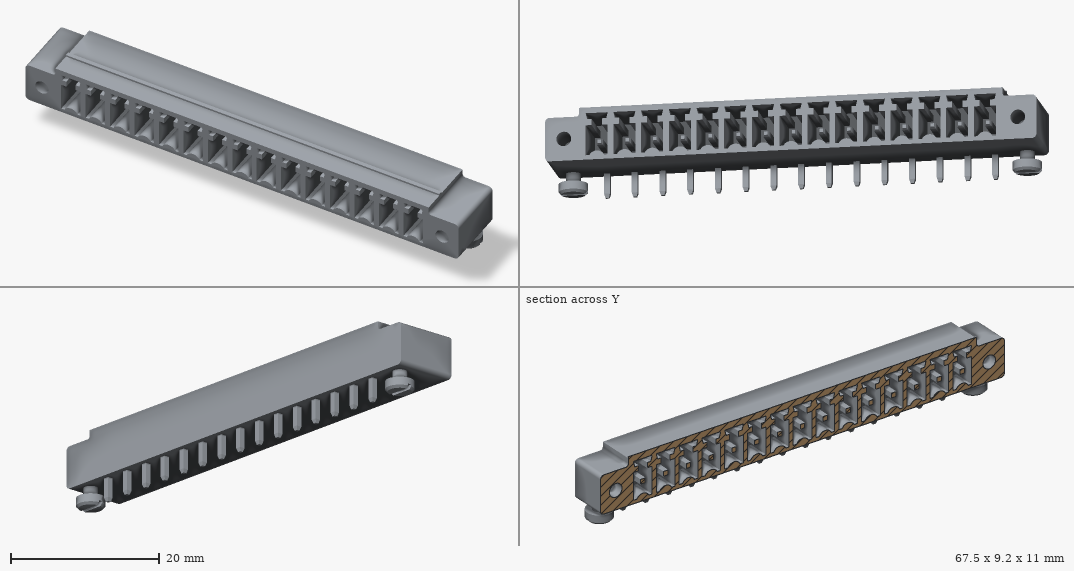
import cadquery as cq

LENGTH = 67.55
DEPTH = 9.2
EAR_HEIGHT = 6.1
BLOCK_HEIGHT = 7.3
BLOCK_LENGTH = 58.2
CORNER_RADIUS = 0.6
EAR_FILLET = 0.4
FRONT_Y = -DEPTH / 2

RIB_Y = -1.4
RIB_WIDTH = 0.6
RIB_HEIGHT = 0.3

POLE_COUNT = 15
ROW_LENGTH = 53.35
PITCH = ROW_LENGTH / (POLE_COUNT - 1)
CAVITY_DEPTH = 6.75
CAVITY_WIDTH = 3.05
CAVITY_FLOOR = 0.6
SHOULDER_HEIGHT = 4.8
NECK_WIDTH = 1.4
NECK_TOP = 5.7
HEAD_BOTTOM_WIDTH = 2.65
CAVITY_TOP = 6.5
FLOOR_BUMP_WIDTH = 2.0
FLOOR_BUMP_HEIGHT = 0.6

PIN_SIZE = 0.8
PIN_Z = 3.05
PIN_FRONT_Y = -2.6
PIN_LEG_Y = 3.4
PIN_DROP = 3.4
PIN_TAPER = 0.55
PIN_TIP_SIZE = 0.5

FLANGE_X = 31.2
FLANGE_HOLE_Z = 3.05
FLANGE_HOLE_DIAMETER = 2.0
FLANGE_HOLE_DEPTH = 5.4
SCREW_Y = 2.5
SCREW_SHANK_DIAMETER = 2.0
SCREW_HEAD_DIAMETER = 4.0
SCREW_HEAD_TOP = -1.4
SCREW_HEAD_HEIGHT = 1.5
SCREW_HEAD_CHAMFER = 0.35
SCREW_SLOT_WIDTH = 0.6
SCREW_SLOT_DEPTH = 0.6

pole_positions = [i * PITCH - ROW_LENGTH / 2 for i in range(POLE_COUNT)]


def make_housing():
    """Long bar with rounded ears and a taller middle block, filleted where they meet."""
    ears = (
        cq.Workplane("XY")
        .box(LENGTH, DEPTH, EAR_HEIGHT, centered=(True, True, False))
        .edges("|Y")
        .fillet(CORNER_RADIUS)
    )
    block = cq.Workplane("XY").box(BLOCK_LENGTH, DEPTH, BLOCK_HEIGHT, centered=(True, True, False))
    body = ears.union(block)
    for side in (-1, 1):
        junction = cq.NearestToPointSelector((side * BLOCK_LENGTH / 2, 0, EAR_HEIGHT))
        body = body.edges("|Y").edges(junction).fillet(EAR_FILLET)
    return body


def make_rib():
    """Rectangular rib running the full length of the middle block."""
    return cq.Workplane("XY", origin=(0, RIB_Y, BLOCK_HEIGHT)).box(
        BLOCK_LENGTH, RIB_WIDTH, RIB_HEIGHT, centered=(True, True, False)
    )


def make_cavity(x):
    """Keyed cavity with a dovetail head, a narrow neck and an arched floor."""
    half = CAVITY_WIDTH / 2
    half_neck = NECK_WIDTH / 2
    half_head = HEAD_BOTTOM_WIDTH / 2
    half_bump = FLOOR_BUMP_WIDTH / 2
    return (
        cq.Workplane("XZ", origin=(x, FRONT_Y, 0))
        .moveTo(-half_bump, CAVITY_FLOOR)
        .threePointArc((0, CAVITY_FLOOR + FLOOR_BUMP_HEIGHT), (half_bump, CAVITY_FLOOR))
        .lineTo(half, CAVITY_FLOOR)
        .lineTo(half, SHOULDER_HEIGHT)
        .lineTo(half_neck, SHOULDER_HEIGHT)
        .lineTo(half_neck, NECK_TOP)
        .lineTo(half_head, NECK_TOP)
        .lineTo(half, CAVITY_TOP)
        .lineTo(-half, CAVITY_TOP)
        .lineTo(-half_head, NECK_TOP)
        .lineTo(-half_neck, NECK_TOP)
        .lineTo(-half_neck, SHOULDER_HEIGHT)
        .lineTo(-half, SHOULDER_HEIGHT)
        .lineTo(-half, CAVITY_FLOOR)
        .close()
        .extrude(-CAVITY_DEPTH)
    )


def tapered_bar(plane, length):
    """Square bar of the given total length with a tapered far end."""
    straight_length = length - PIN_TAPER
    straight = cq.Workplane(plane).rect(PIN_SIZE, PIN_SIZE).extrude(straight_length)
    tip = (
        cq.Workplane(plane)
        .workplane(offset=straight_length)
        .rect(PIN_SIZE, PIN_SIZE)
        .workplane(offset=PIN_TAPER)
        .rect(PIN_TIP_SIZE, PIN_TIP_SIZE)
        .loft()
    )
    return straight.union(tip)


def make_pin(x):
    """Right-angle pin: a leg below the housing and a contact inside the cavity."""
    corner = (x, PIN_LEG_Y, PIN_Z)
    leg = tapered_bar(cq.Plane(corner, (1, 0, 0), (0, 0, -1)), PIN_Z + PIN_DROP)
    contact = tapered_bar(cq.Plane(corner, (1, 0, 0), (0, -1, 0)), PIN_LEG_Y - PIN_FRONT_Y)
    return leg.union(contact)


def make_flange_hole(x):
    """Blind hole in the front face of an ear."""
    return (
        cq.Workplane("XZ", origin=(x, FRONT_Y, FLANGE_HOLE_Z))
        .circle(FLANGE_HOLE_DIAMETER / 2)
        .extrude(-FLANGE_HOLE_DEPTH)
    )


def make_screw(x):
    """Slotted screw hanging below an ear, head down."""
    shank = (
        cq.Workplane("XY", origin=(x, SCREW_Y, SCREW_HEAD_TOP))
        .circle(SCREW_SHANK_DIAMETER / 2)
        .extrude(-SCREW_HEAD_TOP)
    )
    head = (
        cq.Workplane("XY", origin=(x, SCREW_Y, SCREW_HEAD_TOP))
        .circle(SCREW_HEAD_DIAMETER / 2)
        .extrude(-SCREW_HEAD_HEIGHT)
        .faces("<Z")
        .chamfer(SCREW_HEAD_CHAMFER)
    )
    slot = cq.Workplane("XY", origin=(x, SCREW_Y, SCREW_HEAD_TOP - SCREW_HEAD_HEIGHT)).box(
        SCREW_HEAD_DIAMETER, SCREW_SLOT_WIDTH, SCREW_SLOT_DEPTH, centered=(True, True, False)
    )
    return shank.union(head.cut(slot))


result = make_housing().union(make_rib())
for pole_x in pole_positions:
    result = result.cut(make_cavity(pole_x)).union(make_pin(pole_x))
for flange_x in (-FLANGE_X, FLANGE_X):
    result = result.cut(make_flange_hole(flange_x)).union(make_screw(flange_x))